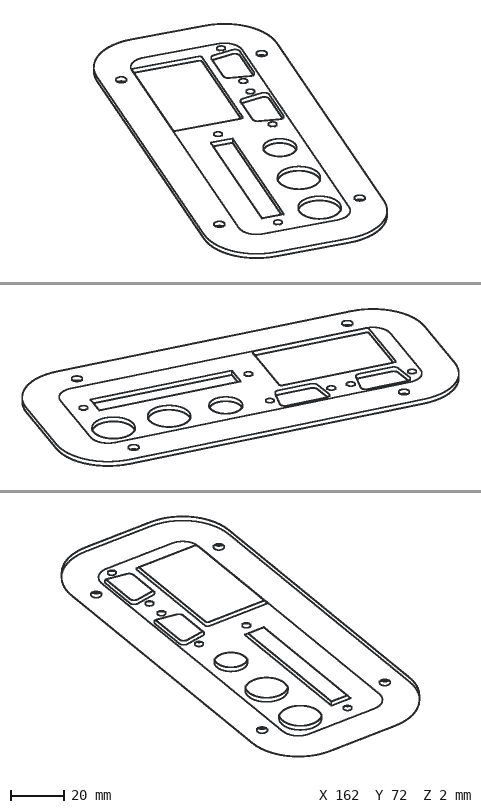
import cadquery as cq
import math

LENGTH = 162.0
WIDTH = 72.0
THICKNESS = 2.0
CORNER_RADIUS = 21.0

FRAME_BORDER = 14.0
INSERT_LENGTH = LENGTH - 2 * FRAME_BORDER
INSERT_WIDTH = WIDTH - 2 * FRAME_BORDER
INSERT_RADIUS = CORNER_RADIUS - FRAME_BORDER

MOUNT_DIAMETER = 4.0
MOUNT_SPACING_X = 110.0
MOUNT_SPACING_Y = 56.0

SCREW_DIAMETER = 3.2

D_CENTERS_X = (-51.2, -18.3)
D_CENTER_Y = 14.9
D_TOP_WIDTH = 20.7
D_HEIGHT = 11.8
D_SIDE_ANGLE = 10.0
D_RADIUS = 2.0
D_SCREW_SPACING = 25.0

WINDOW_LENGTH = 47.3
WINDOW_WIDTH = 27.9
WINDOW_CENTER = (-37.3, -8.0)
WINDOW_RADIUS = 1.0

SLOT_LENGTH = 57.5
SLOT_WIDTH = 8.7
SLOT_CENTER = (27.5, -7.1)
SLOT_SCREW_SPACING = 67.0
SLOT_SCREW_Y = -6.8

ROUND_OPENINGS = (
    (10.9, 11.8, 12.6),
    (33.7, 11.3, 16.2),
    (56.4, 11.5, 16.2),
)


def rounded_plate(length, width, radius, center=(0, 0)):
    """Plate of full thickness, standing on Z = 0, with rounded corners."""
    plate = cq.Workplane("XY").center(*center).rect(length, width).extrude(THICKNESS)
    return plate.edges("|Z").fillet(radius)


def discs(points, diameter):
    """Cylinders through the full thickness at the given points."""
    return cq.Workplane("XY").pushPoints(points).circle(diameter / 2).extrude(THICKNESS)


def screw_pair(center_x, center_y, spacing):
    """Two screw-hole cylinders placed symmetrically about a center."""
    points = [(center_x + side * spacing / 2, center_y) for side in (-1, 1)]
    return discs(points, SCREW_DIAMETER)


def d_cutout(center_x):
    """Rounded trapezoid, wider at its +Y side."""
    half_top = D_TOP_WIDTH / 2
    half_bottom = half_top - D_HEIGHT * math.tan(math.radians(D_SIDE_ANGLE))
    half_height = D_HEIGHT / 2
    outline = [
        (-half_top, half_height),
        (half_top, half_height),
        (half_bottom, -half_height),
        (-half_bottom, -half_height),
    ]
    cutout = cq.Workplane("XY").center(center_x, D_CENTER_Y).polyline(outline).close()
    return cutout.extrude(THICKNESS).edges("|Z").fillet(D_RADIUS)


def make_frame():
    mount_holes = (
        cq.Workplane("XY")
        .rect(MOUNT_SPACING_X, MOUNT_SPACING_Y, forConstruction=True)
        .vertices()
        .circle(MOUNT_DIAMETER / 2)
        .extrude(THICKNESS)
    )
    frame = rounded_plate(LENGTH, WIDTH, CORNER_RADIUS)
    frame = frame.cut(rounded_plate(INSERT_LENGTH, INSERT_WIDTH, INSERT_RADIUS))
    return frame.cut(mount_holes)


def make_insert():
    insert = rounded_plate(INSERT_LENGTH, INSERT_WIDTH, INSERT_RADIUS)

    for center_x in D_CENTERS_X:
        insert = insert.cut(d_cutout(center_x))
        insert = insert.cut(screw_pair(center_x, D_CENTER_Y, D_SCREW_SPACING))

    insert = insert.cut(rounded_plate(WINDOW_LENGTH, WINDOW_WIDTH, WINDOW_RADIUS, WINDOW_CENTER))

    slot = cq.Workplane("XY").center(*SLOT_CENTER).rect(SLOT_LENGTH, SLOT_WIDTH).extrude(THICKNESS)
    insert = insert.cut(slot)
    insert = insert.cut(screw_pair(SLOT_CENTER[0], SLOT_SCREW_Y, SLOT_SCREW_SPACING))

    for center_x, center_y, diameter in ROUND_OPENINGS:
        insert = insert.cut(discs([(center_x, center_y)], diameter))
    return insert


frame = make_frame()
insert = make_insert()

result = cq.Compound.makeCompound([frame.val(), insert.val()])